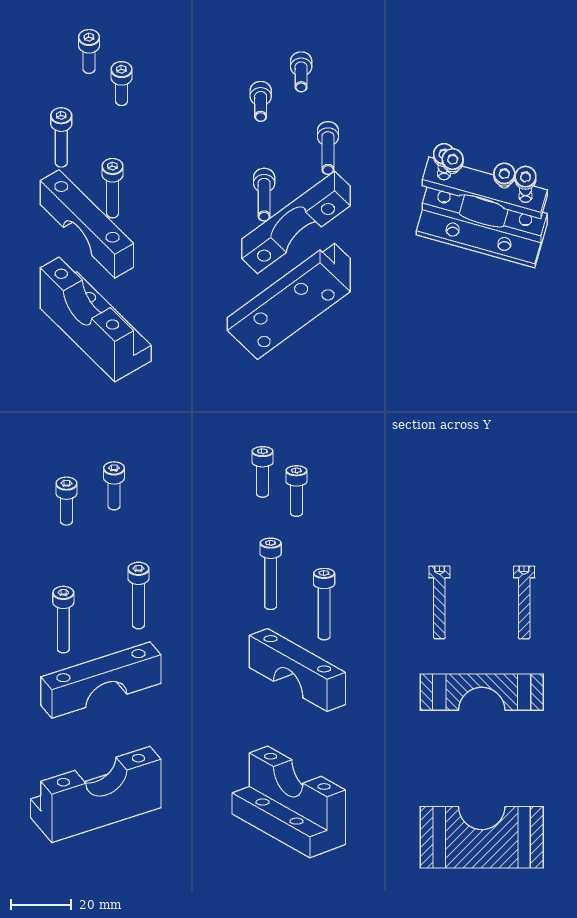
import cadquery as cq
import math

WIDTH = 40.6
BASE_DEPTH = 15.2
WALL_DEPTH = 7.9
FOOT_HEIGHT = 7.9
BASE_HEIGHT = 20.3
CLAMP_HEIGHT = 12.0
CLAMP_BOTTOM = 51.9
BORE_RADIUS = 7.6

HEAD_DIAMETER = 7.0
HEAD_HEIGHT = 4.0
HEAD_CHAMFER = 0.21
SHANK_DIAMETER = 4.0
TIP_CHAMFER = 0.35
SOCKET_ACROSS_FLATS = 3.0
SOCKET_DEPTH = 2.0
SOCKET_CONE_HEIGHT = 0.8
FOOT_SCREW_SHANK = 12.3
FOOT_SCREW_TOP = 138.1
CLAMP_SCREW_SHANK = 20.0
CLAMP_SCREW_TOP = 99.6

FOOT_SCREW_X = 8.8
FOOT_SCREW_Y = (WALL_DEPTH + BASE_DEPTH) / 2
CLAMP_SCREW_X = 14.0
CLAMP_SCREW_Y = WALL_DEPTH / 2
FOOT_SCREW_POINTS = [(side * FOOT_SCREW_X, FOOT_SCREW_Y) for side in (-1, 1)]
CLAMP_SCREW_POINTS = [(side * CLAMP_SCREW_X, CLAMP_SCREW_Y) for side in (-1, 1)]

CLEARANCE_DIAMETER = 4.3
THREAD_DIAMETER = SHANK_DIAMETER


def block(depth, height, bottom):
    """Box of full width, centred on X, with its front face on Y = 0."""
    return cq.Workplane("XY", origin=(0, 0, bottom)).box(WIDTH, depth, height, centered=(True, False, False))


def bore(height):
    """Cylinder along Y through the wall depth, with its axis at the given height."""
    return cq.Workplane("XZ", origin=(0, 0, height)).circle(BORE_RADIUS).extrude(-WALL_DEPTH)


def holes(points, diameter, height, bottom):
    """Vertical hole cutters rising from the bottom height."""
    plane = cq.Workplane("XY", origin=(0, 0, bottom))
    return plane.pushPoints(points).circle(diameter / 2).extrude(height)


def make_base():
    """L-shaped base with the lower half of the bore in its upright wall."""
    wall = block(WALL_DEPTH, BASE_HEIGHT, 0)
    foot = block(BASE_DEPTH, FOOT_HEIGHT, 0)
    return (
        wall.union(foot)
        .cut(bore(BASE_HEIGHT))
        .cut(holes(CLAMP_SCREW_POINTS, THREAD_DIAMETER, BASE_HEIGHT, 0))
        .cut(holes(FOOT_SCREW_POINTS, CLEARANCE_DIAMETER, FOOT_HEIGHT, 0))
    )


def make_clamp():
    """Clamp bar with the upper half of the bore."""
    return (
        block(WALL_DEPTH, CLAMP_HEIGHT, CLAMP_BOTTOM)
        .cut(bore(CLAMP_BOTTOM))
        .cut(holes(CLAMP_SCREW_POINTS, CLEARANCE_DIAMETER, CLAMP_HEIGHT, CLAMP_BOTTOM))
    )


def make_socket():
    """Hexagonal key socket with a conical floor, cut down from Z = 0."""
    across_corners = SOCKET_ACROSS_FLATS / math.cos(math.pi / 6)
    hexagon = (
        cq.Workplane("XY")
        .polygon(6, across_corners)
        .extrude(-SOCKET_DEPTH)
        .rotate((0, 0, 0), (0, 0, 1), 30)
    )
    cone = cq.Solid.makeCone(
        SOCKET_ACROSS_FLATS / 2, 0, SOCKET_CONE_HEIGHT,
        pnt=cq.Vector(0, 0, -SOCKET_DEPTH), dir=cq.Vector(0, 0, -1),
    )
    return hexagon.union(cq.Workplane(cone))


def make_screw(shank_length, point, top):
    """Socket head screw pointing down, its head's top face at the given height."""
    head = cq.Workplane("XY").circle(HEAD_DIAMETER / 2).extrude(-HEAD_HEIGHT)
    head = head.faces(">Z").edges().chamfer(HEAD_CHAMFER)
    shank = cq.Workplane("XY", origin=(0, 0, -HEAD_HEIGHT)).circle(SHANK_DIAMETER / 2).extrude(-shank_length)
    shank = shank.faces("<Z").edges().chamfer(TIP_CHAMFER)
    screw = head.union(shank).cut(make_socket())
    return screw.translate((point[0], point[1], top))


base = make_base()
clamp = make_clamp()
foot_screws = [make_screw(FOOT_SCREW_SHANK, point, FOOT_SCREW_TOP) for point in FOOT_SCREW_POINTS]
clamp_screws = [make_screw(CLAMP_SCREW_SHANK, point, CLAMP_SCREW_TOP) for point in CLAMP_SCREW_POINTS]

result = cq.Compound.makeCompound([
    base.val(),
    clamp.val(),
    *[screw.val() for screw in foot_screws],
    *[screw.val() for screw in clamp_screws],
])